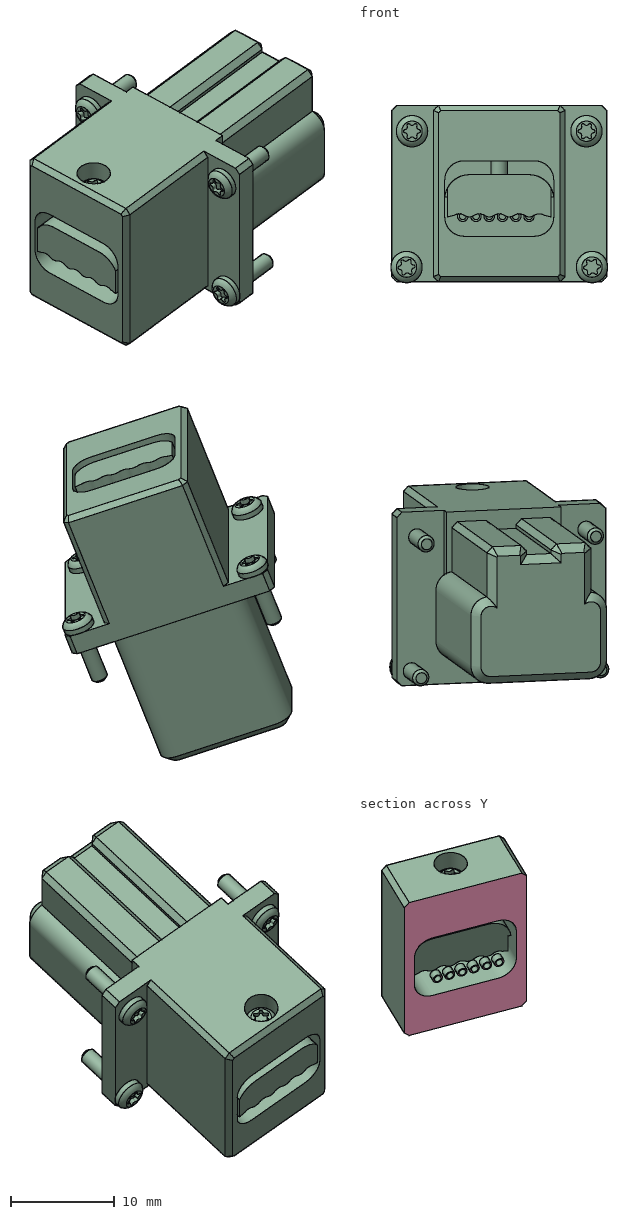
import cadquery as cq
import math

length = 29.67

housing_height = 17.0
body_width = 12.7
flange_width = 20.75
flange_front = 12.02
flange_back = 14.0
collar_width = 11.35
collar_bottom = 3.5
collar_back = 14.98
housing_chamfer = 0.5

plug_width = 13.47
plug_bottom = 2.67
plug_top = 16.02
wing_top = 11.15
wing_radius = 1.78
key_width = 10.33
key_chamfer = 0.55
groove_width = 3.53
groove_depth = 0.92
plug_end_chamfer = 0.8

pocket_width = 10.5
pocket_bottom = 4.4
pocket_top = 11.65
pocket_radius = 1.87
pocket_depth = 7.12

clamp_width = 9.95
clamp_top = 10.33
clamp_shoulder = 8.15
clamp_corner_radius = 2.37
clamp_depth = 5.05
clamp_lip_setback = 0.9
wave_crest = 6.55
wave_trough = 6.25
wave_pitch = 1.93
wave_count = 5

contact_count = 6
contact_pitch = 1.28
contact_row_shift = -0.33
contact_height = 6.32
contact_radius = 0.5
contact_bore_radius = 0.33
contact_length = 1.48

head_radius = 1.5
head_rim_height = 0.53
head_height = 1.07
head_flat_radius = 0.98
head_dome_radius = 1.3
head_dome_height = 0.85
shank_radius = 0.8
shank_length = 6.0
shank_chamfer = 0.27
socket_tip_radius = 0.815
socket_flank_radius = 0.7
socket_valley_radius = 0.55
socket_depth = 0.5
socket_lobes = 6
lobe_half_angle = 12.0

upper_screw_x = 8.4
upper_screw_z = 14.5
lower_screw_x = 8.93
lower_screw_z = 1.42
upper_socket_turn = 0.0
lower_socket_turn = 5.0

clamp_screw_y = 2.55
clamp_screw_seat = 14.42
clamp_screw_turn = -8.0
clamp_screw_bore_radius = 1.6


def block(width, y_front, y_back, z_bottom, z_top):
    """Box centred on X = 0."""
    return cq.Workplane("XY").box(
        width, y_back - y_front, z_top - z_bottom, centered=(True, False, False)
    ).translate((0, y_front, z_bottom))


def profile_plane(y):
    """Plane for an X-Z outline that is extruded toward +Y by a negative distance."""
    return cq.Workplane("XZ", origin=(0, y, 0))


def make_housing():
    body = block(body_width, 0, flange_back, 0, housing_height)
    body = body.edges("|Y").chamfer(housing_chamfer)
    body = body.faces("<Y").edges().chamfer(housing_chamfer)
    flange = block(flange_width, flange_front, flange_back, 0, housing_height)
    flange = flange.edges("|Y").chamfer(housing_chamfer)
    collar = block(collar_width, flange_front, collar_back, collar_bottom, housing_height)
    return body.union(flange).union(collar)


def make_plug():
    wings = block(plug_width, collar_back, length, plug_bottom, wing_top)
    wings = wings.edges("|Y").fillet(wing_radius)

    half_key = key_width / 2
    half_groove = groove_width / 2
    shoulder = plug_top - key_chamfer
    key_base = (plug_bottom + wing_top) / 2
    right_side = [
        (half_groove - key_chamfer, plug_top - groove_depth),
        (half_groove - key_chamfer, shoulder),
        (half_groove, plug_top),
        (half_key - key_chamfer, plug_top),
        (half_key, shoulder),
        (half_key, key_base),
    ]
    left_side = [(-x, z) for x, z in reversed(right_side)]
    key = profile_plane(collar_back).polyline(right_side + left_side).close()
    key = key.extrude(collar_back - length)

    plug = wings.union(key)
    return plug.faces(">Y").edges().chamfer(plug_end_chamfer)


def make_pocket():
    pocket = block(pocket_width, 0, pocket_depth, pocket_bottom, pocket_top)
    return pocket.edges("|Y").fillet(pocket_radius)


def make_clamp():
    """Clamp with rounded top corners, a wavy underside and side lips set back from the front."""
    half_width = clamp_width / 2
    quarter = wave_pitch / 4
    wave_middle = (wave_crest + wave_trough) / 2
    first_crest = -wave_pitch * (wave_count - 1) / 2

    outline = profile_plane(0).moveTo(-half_width, clamp_top).lineTo(-half_width, wave_trough)
    outline = outline.lineTo(first_crest - quarter, wave_middle)
    for i in range(wave_count):
        crest = first_crest + i * wave_pitch
        outline = outline.threePointArc((crest, wave_crest), (crest + quarter, wave_middle))
        if i < wave_count - 1:
            trough = crest + wave_pitch / 2
            outline = outline.threePointArc((trough, wave_trough), (trough + quarter, wave_middle))
    outline = outline.lineTo(half_width, wave_trough).lineTo(half_width, clamp_top).close()
    core = outline.extrude(-clamp_depth)

    lips = block(pocket_width, clamp_lip_setback, clamp_depth, clamp_shoulder, clamp_top)
    envelope = block(pocket_width, 0, clamp_depth, pocket_bottom, clamp_top)
    envelope = envelope.edges("|Y and >Z").fillet(clamp_corner_radius)
    return core.union(lips).intersect(envelope)


def make_contacts():
    first_x = contact_row_shift - contact_pitch * (contact_count - 1) / 2
    centres = [(first_x + i * contact_pitch, contact_height) for i in range(contact_count)]
    row = profile_plane(pocket_depth).pushPoints(centres)
    cups = row.circle(contact_radius).extrude(contact_length)
    bores = row.circle(contact_bore_radius).extrude(contact_length)
    return cups.cut(bores)


def polar(radius, degrees):
    angle = math.radians(degrees)
    return (radius * math.cos(angle), radius * math.sin(angle))


def make_socket(turn):
    """Six-lobed socket sunk from the top of a screw head."""
    step = 360 / socket_lobes
    outline = cq.Workplane("XY", origin=(0, 0, head_height))
    outline = outline.moveTo(*polar(socket_flank_radius, turn - lobe_half_angle))
    for i in range(socket_lobes):
        tip = turn + i * step
        outline = outline.threePointArc(
            polar(socket_tip_radius, tip),
            polar(socket_flank_radius, tip + lobe_half_angle),
        )
        outline = outline.threePointArc(
            polar(socket_valley_radius, tip + step / 2),
            polar(socket_flank_radius, tip + step - lobe_half_angle),
        )
    return outline.close().extrude(-socket_depth)


def make_screw(turn):
    """Pan-head screw along Z: the head seat is at Z = 0 and the shank points down."""
    outline = (
        cq.Workplane("XZ")
        .moveTo(0, head_height)
        .lineTo(head_flat_radius, head_height)
        .threePointArc((head_dome_radius, head_dome_height), (head_radius, head_rim_height))
        .lineTo(head_radius, 0)
        .lineTo(shank_radius, 0)
        .lineTo(shank_radius, shank_chamfer - shank_length)
        .lineTo(shank_radius - shank_chamfer, -shank_length)
        .lineTo(0, -shank_length)
        .close()
    )
    screw = outline.revolve(360, (0, 0, 0), (0, 1, 0))
    return screw.cut(make_socket(turn))


def make_flange_screws():
    screws = cq.Workplane("XY")
    for x, z, turn in (
        (upper_screw_x, upper_screw_z, upper_socket_turn),
        (lower_screw_x, lower_screw_z, lower_socket_turn),
    ):
        screw = make_screw(turn).rotate((0, 0, 0), (1, 0, 0), 90)
        for side in (-1, 1):
            screws = screws.add(screw.translate((side * x, flange_front, z)))
    return screws


def make_clamp_screw():
    return make_screw(clamp_screw_turn).translate((0, clamp_screw_y, clamp_screw_seat))


def make_clamp_screw_bore():
    bore = cq.Workplane("XY", origin=(0, clamp_screw_y, clamp_screw_seat))
    return bore.circle(clamp_screw_bore_radius).extrude(housing_height - clamp_screw_seat)


result = make_housing().union(make_plug())
result = result.cut(make_pocket()).cut(make_clamp_screw_bore())
result = result.union(make_clamp()).union(make_contacts()).union(make_clamp_screw())
for flange_screw in make_flange_screws().vals():
    result = result.union(cq.Workplane(flange_screw))